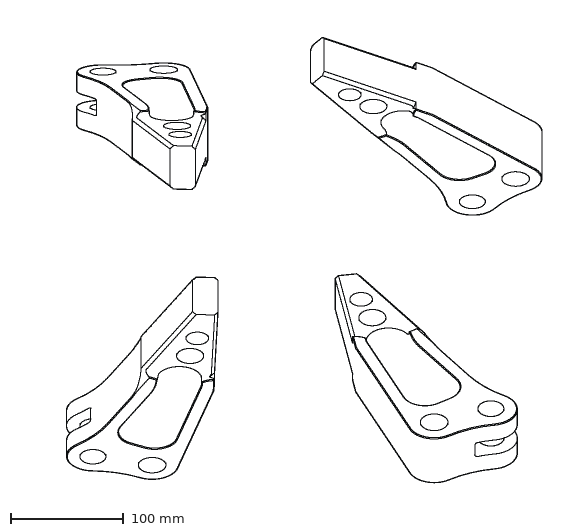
import cadquery as cq
import math

thickness = 50.0
half_thickness = thickness / 2
tip_x = 245.0
tip_y = 0.55
edge_break = 0.8

lobe_radius = 23.5
waist_radius = 100.0
upper_lobe = (11.66, 52.92)
pivot_hole_diameter = 23.0
upper_hole_diameter = 24.5

top_edge_angle = math.radians(12.25)
prong_angle = math.radians(25.0)
belly_y = -12.0
belly_end_x = 96.2
prong_bottom_y = -20.0
belly_drop_radius = 96.0
prong_holes = (((175.5, 7.9), 24.0), ((203.4, 0.95), 20.0))

prong_half_thickness = 20.0
step_foot_x = 135.2
step_radius = 17.5
step_fillet = 3.5
prong_chamfer = 3.0

pocket_depth = 22.0
pocket_left_x = 33.7
pocket_bottom_y = 0.8
pocket_corner_radius = 20.0
pocket_wall = 12.9
pocket_end_x = 138.2
pocket_swell_radius = 50.0
pocket_floor_fillet = 4.0

slot_height = 15.5
slot_radius = 26.2
slot_end_angle = math.radians(86.0)
slot_fillet = 2.5

clearance = 60.0
sliver = 0.001


def polar(center, radius, angle):
    """Point at a radius and angle from a centre."""
    return (center[0] + radius * math.cos(angle), center[1] + radius * math.sin(angle))


def toward(start, end, distance):
    """Point at a distance from start on the way to end."""
    return polar(start, distance, math.atan2(end[1] - start[1], end[0] - start[0]))


def prong_edge_y(x):
    """Height of the prong's top edge at x."""
    return tip_y + (tip_x - x) * math.tan(prong_angle)


def on_both_faces(tool):
    """A tool together with its mirror image on the opposite broad face."""
    return tool.union(tool.mirror("XY"))


top_normal = math.pi / 2 - top_edge_angle
lobe_top = polar(upper_lobe, lobe_radius, top_normal)

shoulder_rise = prong_edge_y(lobe_top[0]) - lobe_top[1]
shoulder_x = lobe_top[0] + shoulder_rise / (math.tan(prong_angle) - math.tan(top_edge_angle))
shoulder = (shoulder_x, prong_edge_y(shoulder_x))
step_top = polar(shoulder, step_radius, -prong_angle)


def make_body():
    pivot = (0.0, 0.0)
    reach = lobe_radius + waist_radius

    half_span = math.hypot(*upper_lobe) / 2
    left_normal = math.atan2(upper_lobe[1], upper_lobe[0]) + math.pi / 2
    middle = (upper_lobe[0] / 2, upper_lobe[1] / 2)
    left_offset = math.sqrt(reach**2 - half_span**2)
    left_center = polar(middle, left_offset, left_normal)

    belly_center_y = belly_y - waist_radius
    belly_center = (math.sqrt(reach**2 - belly_center_y**2), belly_center_y)
    belly_middle = toward(belly_center, (belly_center[0] / 2, 0.0), waist_radius)

    drop_center_y = belly_y - belly_drop_radius
    drop_end_angle = math.asin((prong_bottom_y - drop_center_y) / belly_drop_radius)
    drop_center = (belly_end_x, drop_center_y)
    drop_middle_angle = (math.pi / 2 + drop_end_angle) / 2

    end_bottom_x = tip_x - (tip_y - prong_bottom_y) * math.tan(prong_angle)
    outline = (
        cq.Workplane("XY", origin=(0, 0, -half_thickness))
        .moveTo(*lobe_top)
        .threePointArc(
            polar(upper_lobe, lobe_radius, math.radians(135)),
            toward(upper_lobe, left_center, lobe_radius),
        )
        .threePointArc(
            polar(middle, left_offset - waist_radius, left_normal),
            toward(pivot, left_center, lobe_radius),
        )
        .threePointArc(
            polar(pivot, lobe_radius, math.radians(225)),
            toward(pivot, belly_center, lobe_radius),
        )
        .threePointArc(belly_middle, (belly_center[0], belly_y))
        .lineTo(belly_end_x, belly_y)
        .threePointArc(
            polar(drop_center, belly_drop_radius, drop_middle_angle),
            polar(drop_center, belly_drop_radius, drop_end_angle),
        )
        .lineTo(end_bottom_x, prong_bottom_y)
        .lineTo(tip_x, tip_y)
        .lineTo(*shoulder)
        .close()
    )
    return outline.extrude(thickness).faces("|Z").chamfer(edge_break)


def make_flare(outline):
    """Tool that breaks the rim of a recess: it widens at 45 degrees, by edge_break at the broad face."""
    height = 2 * edge_break
    block = outline(half_thickness - edge_break).offset2D(height).extrude(height)
    return block.faces("<Z").chamfer(height - sliver)


def step_outline(height):
    bend_angle = -math.acos((step_foot_x - shoulder[0]) / step_radius)
    middle_angle = (bend_angle - prong_angle) / 2
    outside_top = polar(step_top, clearance, math.pi / 2 - prong_angle)
    far_x = tip_x + clearance
    return (
        cq.Workplane("XY", origin=(0, 0, height))
        .moveTo(step_foot_x, prong_bottom_y - clearance)
        .lineTo(*polar(shoulder, step_radius, bend_angle))
        .threePointArc(polar(shoulder, step_radius, middle_angle), step_top)
        .lineTo(*outside_top)
        .lineTo(far_x, outside_top[1])
        .lineTo(far_x, prong_bottom_y - clearance)
        .close()
    )


def make_step_cutter():
    cutter = step_outline(prong_half_thickness).extrude(clearance)
    cutter = cutter.faces("<Z").edges().fillet(step_fillet)
    return cutter.union(make_flare(step_outline))


def make_chamfer_cutter(start, along, outward, length):
    """45 degree wedge that takes prong_chamfer off an edge running from start."""
    reach = clearance / 2
    flip = cq.Vector(*along).cross(cq.Vector(*outward)).z
    plane = cq.Plane(origin=start, xDir=outward, normal=tuple(flip * a for a in along))
    wedge = [(-reach, reach - prong_chamfer), (reach, -reach - prong_chamfer), (reach, reach)]
    return cq.Workplane(plane).polyline(wedge).close().extrude(flip * length)


def make_prong_chamfers():
    bottom_start = (belly_end_x, prong_bottom_y, prong_half_thickness)
    bottom = make_chamfer_cutter(bottom_start, (1, 0, 0), (0, -1, 0), tip_x - belly_end_x)

    top_start = (*step_top, prong_half_thickness)
    top_along = (math.cos(prong_angle), -math.sin(prong_angle), 0)
    top_outward = (math.sin(prong_angle), math.cos(prong_angle), 0)
    top = make_chamfer_cutter(top_start, top_along, top_outward, tip_x - step_top[0] + clearance)
    return bottom.union(top)


def pocket_outline(height):
    radius = pocket_corner_radius
    left_center_x = pocket_left_x + radius
    lower_center = (left_center_x, pocket_bottom_y + radius)
    inset = (pocket_wall + radius) / math.cos(top_edge_angle)

    def center_y(x):
        """Height of a corner centre at x, a fixed distance inside the body's top edge."""
        return lobe_top[1] - (x - lobe_top[0]) * math.tan(top_edge_angle) - inset

    upper_center = (left_center_x, center_y(left_center_x))
    end_center = (pocket_end_x, center_y(pocket_end_x))

    swell_y = pocket_bottom_y - pocket_swell_radius
    swell_reach = math.sqrt((radius + pocket_swell_radius) ** 2 - (end_center[1] - swell_y) ** 2)
    swell_center = (pocket_end_x - swell_reach, swell_y)
    swell_end = toward(end_center, swell_center, radius)
    swell_end_angle = math.atan2(swell_end[1] - swell_y, swell_end[0] - swell_center[0])
    swell_middle = polar(swell_center, pocket_swell_radius, (math.pi / 2 + swell_end_angle) / 2)
    return (
        cq.Workplane("XY", origin=(0, 0, height))
        .moveTo(pocket_left_x, lower_center[1])
        .lineTo(pocket_left_x, upper_center[1])
        .threePointArc(
            polar(upper_center, radius, math.radians(135)),
            polar(upper_center, radius, top_normal),
        )
        .lineTo(*polar(end_center, radius, top_normal))
        .threePointArc(polar(end_center, radius, 0), swell_end)
        .threePointArc(swell_middle, (swell_center[0], pocket_bottom_y))
        .lineTo(lower_center[0], pocket_bottom_y)
        .threePointArc(
            polar(lower_center, radius, math.radians(225)),
            (pocket_left_x, lower_center[1]),
        )
        .close()
    )


def make_pocket_cutter():
    cutter = pocket_outline(half_thickness - pocket_depth).extrude(pocket_depth)
    cutter = cutter.faces("<Z").edges().fillet(pocket_floor_fillet)
    return cutter.union(make_flare(pocket_outline))


def make_slot_cutter():
    end = polar((0, 0), slot_radius, slot_end_angle)
    end_slope = 1 / math.tan(slot_end_angle)
    far_end = (-clearance, end[1] + (end[0] + clearance) * end_slope)
    cutter = (
        cq.Workplane("XY", origin=(0, 0, -slot_height / 2))
        .moveTo(slot_radius, -clearance)
        .lineTo(slot_radius, 0)
        .threePointArc(polar((0, 0), slot_radius, slot_end_angle / 2), end)
        .lineTo(*far_end)
        .lineTo(-clearance, -clearance)
        .close()
        .extrude(slot_height)
    )
    return cutter.faces("|Z").edges().fillet(slot_fillet)


def make_hole(center, diameter):
    return cq.Workplane("XY", origin=(*center, -half_thickness)).circle(diameter / 2).extrude(thickness)


result = make_body()
result = result.cut(on_both_faces(make_step_cutter()))
result = result.cut(on_both_faces(make_pocket_cutter()))
result = result.cut(on_both_faces(make_prong_chamfers()))
result = result.cut(make_slot_cutter())
for hole_center, hole_diameter in (
    ((0, 0), pivot_hole_diameter),
    (upper_lobe, upper_hole_diameter),
    *prong_holes,
):
    result = result.cut(make_hole(hole_center, hole_diameter))